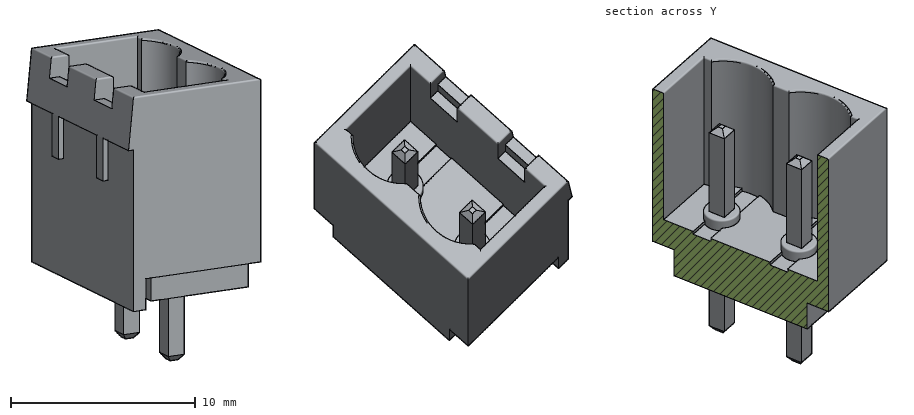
import cadquery as cq


width = 11.56
body_depth = 7.89
total_depth = 8.2
total_height = 16.1
tail_length = 4.02
edge_radius = 0.1
bottom = tail_length
top = total_height
front = -body_depth
lip_front = -total_depth

lip_height = 2.96
rib_height = 2.42
rib_width = 0.71
rib_spacing = 5.04

pin_pitch = 5.07
pin_size = 1.0
pin_y = -3.74
pin_top = bottom + 9.66
upper_tip_inset = 0.35
upper_tip_height = 0.32
lower_tip_inset = 0.25
lower_tip_height = 0.34

side_wall = 0.75
back_wall = 1.75
front_wall = 1.1
pocket_depth = 8.53
pocket_floor = top - pocket_depth
lobe_radius = 2.74
lobe_back_wall = 0.87
lobe_y = -lobe_back_wall - lobe_radius
pocket_front = front + front_wall

groove_width = 1.15
groove_spacing = 5.04
groove_depth = 0.2
collar_diameter = 2.0
collar_height = 0.48

slot_width = 2.0
slot_depth = 1.16
slot_step_depth = 1.0
slot_step_width = 0.58
slot_step_y = pocket_front - slot_step_width

relief_height = 1.75
relief_inset = 1.42
relief_front_wall = 0.77
corner_inset = 2 * relief_inset
corner_front_wall = 1.87


def box(x_middle, x_size, y_range, z_range):
    """Box centred on x_middle in X, between the given Y and Z limits."""
    y_low, y_high = y_range
    z_low, z_high = z_range
    return (
        cq.Workplane("XY")
        .box(x_size, y_high - y_low, z_high - z_low, centered=(True, False, False))
        .translate((x_middle, y_low, z_low))
    )


def pair(spacing):
    """X places of two like features, one for each pole."""
    return (-spacing / 2, spacing / 2)


def make_shell():
    """Housing block with the sloping latch lip along the top of its front face."""
    lip_bottom = top - lip_height
    return (
        cq.Workplane("YZ")
        .moveTo(0, bottom)
        .lineTo(0, top)
        .lineTo(front, top)
        .lineTo(lip_front, lip_bottom)
        .lineTo(front, lip_bottom)
        .lineTo(front, bottom)
        .close()
        .extrude(width / 2, both=True)
    )


def make_pocket():
    """Rectangular pocket whose back wall bulges out in a round lobe behind each pin."""
    pocket = box(0, width - 2 * side_wall, (pocket_front, -back_wall), (pocket_floor, top))
    for x in pair(pin_pitch):
        lobe = cq.Workplane("XY").cylinder(pocket_depth, lobe_radius, centered=(True, True, False))
        lobe = lobe.translate((x, lobe_y, pocket_floor))
        lobe_back = box(x, 2 * lobe_radius, (-back_wall, 0), (pocket_floor, top))
        pocket = pocket.union(lobe.intersect(lobe_back))
    return pocket


def make_slot(x):
    """Slot through the front wall, with a lower step on its pocket side."""
    slot_floor = top - slot_depth
    slot = box(x, slot_width, (lip_front, pocket_front), (slot_floor, top))
    step = box(x, slot_width, (slot_step_y, pocket_front), (slot_floor - slot_step_depth, slot_floor))
    return slot.union(step)


def make_floor_groove(x):
    """Shallow groove across the pocket floor, ending at the pocket walls."""
    groove = box(x, groove_width, (pocket_front, 0), (pocket_floor - groove_depth, pocket_floor))
    return groove.intersect(make_pocket().translate((0, 0, -groove_depth)))


def make_side_relief(side):
    """Two-level notch in one lower side (-1 or 1), open at the back and the bottom."""
    heights = (bottom, bottom + relief_height)
    relief_front = front + relief_front_wall
    corner_back = front + corner_front_wall
    shallow = box(side * (width - relief_inset) / 2, relief_inset, (relief_front, 0), heights)
    corner = box(side * (width - corner_inset) / 2, corner_inset, (relief_front, corner_back), heights)
    return shallow.union(corner)


def make_collar(x):
    """Round collar where a pin leaves the pocket floor."""
    base = pocket_floor - groove_depth
    return (
        cq.Workplane("XY")
        .circle(collar_diameter / 2)
        .extrude(collar_height + groove_depth)
        .faces(">Z")
        .fillet(edge_radius)
        .translate((x, pin_y, base))
    )


def make_tip(base_z, inset, height):
    """Blunt square pyramid on a pin end; a negative height points down."""
    return (
        cq.Workplane("XY", origin=(0, 0, base_z))
        .rect(pin_size, pin_size)
        .workplane(offset=height)
        .rect(pin_size - 2 * inset, pin_size - 2 * inset)
        .loft()
    )


def make_pin(x):
    """Square pin, tapered at both ends."""
    shank_bottom = lower_tip_height
    shank_top = pin_top - upper_tip_height
    pin = box(0, pin_size, (-pin_size / 2, pin_size / 2), (shank_bottom, shank_top))
    pin = pin.union(make_tip(shank_top, upper_tip_inset, upper_tip_height))
    pin = pin.union(make_tip(shank_bottom, lower_tip_inset, -lower_tip_height))
    return pin.translate((x, pin_y, 0))


result = make_shell().cut(make_pocket())
for slot_x in pair(pin_pitch):
    result = result.cut(make_slot(slot_x))
result = result.faces(">Z").edges().fillet(edge_radius)

for groove_x in pair(groove_spacing):
    result = result.cut(make_floor_groove(groove_x))
for side in (-1, 1):
    result = result.cut(make_side_relief(side))

rib_top = top - lip_height
for rib_x in pair(rib_spacing):
    result = result.union(box(rib_x, rib_width, (lip_front, front), (rib_top - rib_height, rib_top)))
for pin_x in pair(pin_pitch):
    result = result.union(make_collar(pin_x))
    result = result.union(make_pin(pin_x))